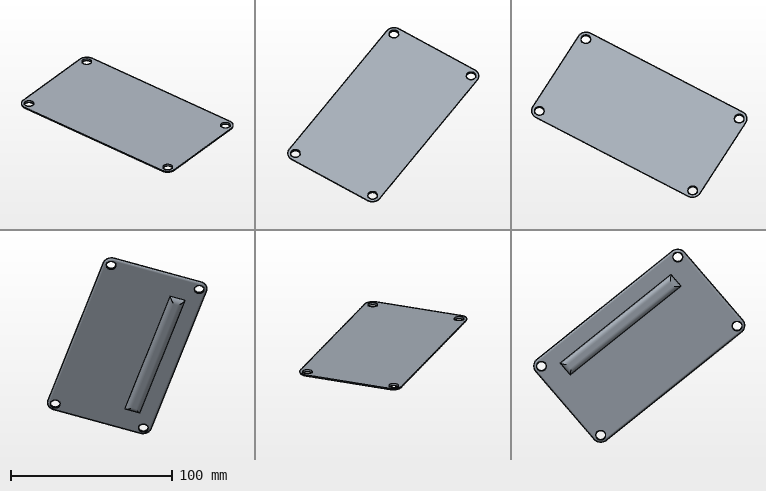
import cadquery as cq

length = 120.0
width = 67.62
plate_thickness = 1.5
corner_radius = 5.5
rim_radius = plate_thickness

hole_diameter = 6.0
hole_inset = 5.0

total_height = 4.0
ridge_length = 89.6
ridge_width = 10.1
ridge_center_y = 18.15
ridge_edge_radius = 3.5


def make_plate():
    """Rounded rectangle, top face at Z = 0, its rim a quarter round over the full thickness."""
    blank = cq.Workplane("XY").rect(length, width).extrude(-2 * plate_thickness)
    blank = blank.edges("|Z").fillet(corner_radius)
    blank = blank.translate((0, 0, plate_thickness))
    rounded = blank.faces("<Z").edges().fillet(rim_radius)
    below_top = cq.Workplane("XY").rect(length, width).extrude(-plate_thickness)
    return rounded.intersect(below_top)


def ridge_bar(plane, across, along):
    """Bar hanging from Z = 0 whose section has both lower corners rounded."""
    half = across / 2
    flat_half = half - ridge_edge_radius
    bottom = -total_height
    arc_start = bottom + ridge_edge_radius
    return (
        cq.Workplane(plane)
        .moveTo(-half, 0)
        .lineTo(-half, arc_start)
        .radiusArc((-flat_half, bottom), -ridge_edge_radius)
        .lineTo(flat_half, bottom)
        .radiusArc((half, arc_start), -ridge_edge_radius)
        .lineTo(half, 0)
        .close()
        .extrude(along / 2, both=True)
    )


def make_ridge():
    """Ridge rounded on all four sides, the roundings meeting in mitres."""
    lengthwise = ridge_bar("YZ", ridge_width, ridge_length)
    crosswise = ridge_bar("XZ", ridge_length, ridge_width)
    return lengthwise.intersect(crosswise).translate((0, ridge_center_y, 0))


def cut_corner_holes(body):
    """Through holes at an equal inset from both edges of each corner."""
    holes = (
        cq.Workplane("XY")
        .rect(length - 2 * hole_inset, width - 2 * hole_inset, forConstruction=True)
        .vertices()
        .circle(hole_diameter / 2)
        .extrude(-plate_thickness)
    )
    return body.cut(holes)


result = cut_corner_holes(make_plate().union(make_ridge()))